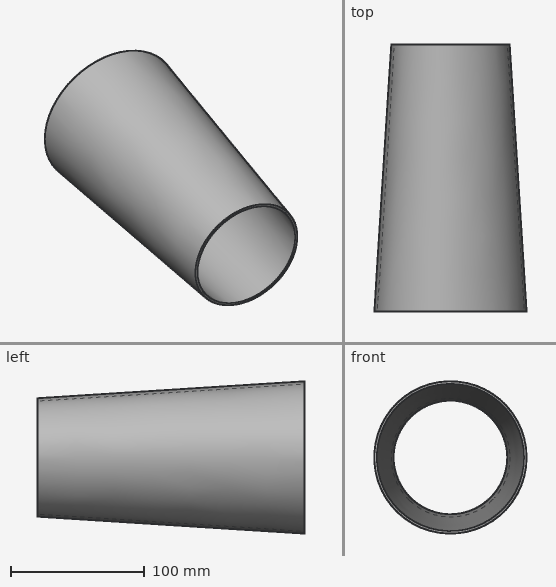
import cadquery as cq

length = 200.0
large_diameter = 114.3
small_diameter = 88.9
wall = 2.0


def tapered_solid(large_radius, small_radius):
    """Solid cone frustum from the large end at Y = 0 to the small end at Y = length."""
    outline = [(0, 0), (large_radius, 0), (small_radius, length), (0, length)]
    return cq.Workplane("XY").polyline(outline).close().revolve(360, (0, 0, 0), (0, 1, 0))


outer_body = tapered_solid(large_diameter / 2, small_diameter / 2)
bore = tapered_solid(large_diameter / 2 - wall, small_diameter / 2 - wall)

result = outer_body.cut(bore)